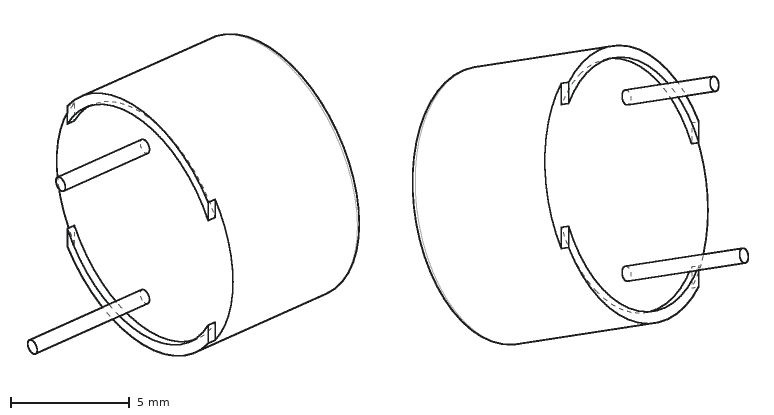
import cadquery as cq

total_length = 13.08
body_diameter = 11.84

rim_height = 0.38
rim_inner_diameter = 10.83
rim_width = 9.45

pin_diameter = 0.64
pin_spacing = 7.61
long_pin_reach = 5.72
short_pin_reach = 4.19

back_edge_radius = 0.25
body_length = total_length - long_pin_reach - rim_height


def cylinder_toward_pins(diameter, length, z=0):
    """Cylinder from the pin face (Y = 0) toward -Y, centred at height z."""
    return cq.Workplane("XZ").center(0, z).circle(diameter / 2).extrude(length)


def make_body():
    """Plain round case with a rounded back edge."""
    body = cq.Workplane("XZ").circle(body_diameter / 2).extrude(-body_length)
    return body.faces(">Y").edges().fillet(back_edge_radius)


def make_rims():
    """Upper and lower arc rims: a ring trimmed flat at both sides."""
    ring = cylinder_toward_pins(body_diameter, rim_height).cut(
        cylinder_toward_pins(rim_inner_diameter, rim_height)
    )
    side_trim = cq.Workplane("XZ").rect(rim_width, body_diameter).extrude(rim_height)
    return ring.intersect(side_trim)


def make_pin(reach, z):
    """Round pin standing on the pin face."""
    return cylinder_toward_pins(pin_diameter, rim_height + reach, z)


result = (
    make_body()
    .union(make_rims())
    .union(make_pin(short_pin_reach, pin_spacing / 2))
    .union(make_pin(long_pin_reach, -pin_spacing / 2))
)